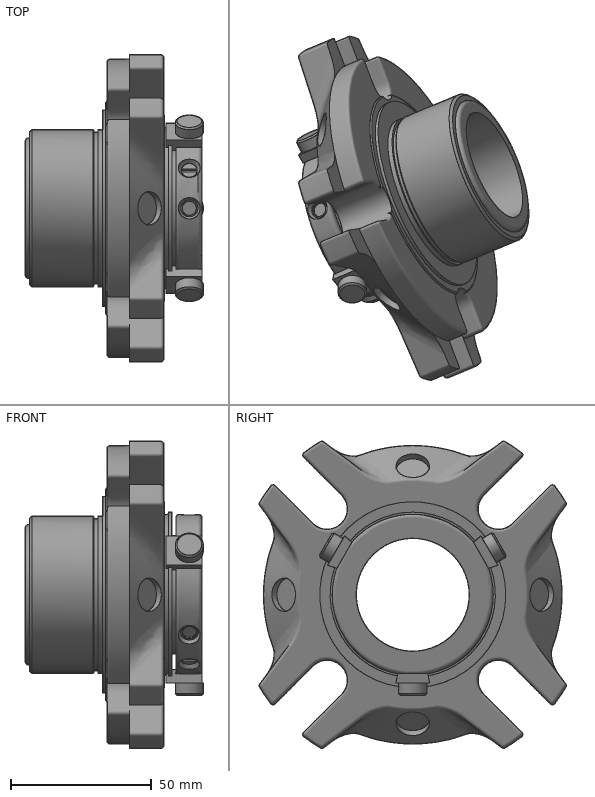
import cadquery as cq
import math

BARREL_START = 1.5
GROOVE_START = 24.5
GROOVE_END = 25.8
PILOT_FACE = 27.5
STEP_FACE = 28.6
FLANGE_FACE = 29.1
LUG_FACE = 37.0
REAR_FACE = 49.3
BOSS_END = 49.5
RING_START = 50.9
RING_END = 52.15
COLLAR_START = 53.5
COLLAR_END = 62.84

BORE_DIAMETER = 40.01
NOSE_DIAMETER = 50.04
BARREL_DIAMETER = 55.88
GROOVE_DIAMETER = 54.03
PILOT_DIAMETER = 69.85
STEP_DIAMETER = 76.0
FLANGE_DIAMETER = 106.0
BOSS_DIAMETER = 66.0
GLAND_DIAMETER = 57.17
RING_DIAMETER = 58.65
SLEEVE_DIAMETER = 41.99
COLLAR_DIAMETER = 57.17

NOSE_FILLET = 1.4
BARREL_FRONT_CHAMFER = 0.9
BARREL_REAR_CHAMFER = 0.4
STEP_CHAMFER = 0.45
FLANGE_FILLET = 1.0
RIM_CORNER_FILLET = 1.1
COLLAR_FILLET = 1.4

SLOT_COUNT = 4
FIRST_SLOT_ANGLE = 45
SLOT_WIDTH = 14.29
SLOT_CENTRE_RADIUS = 43.0
LUG_TIP_RADIUS = 63.5
LUG_TIP_HALF_WIDTH = 15.92
LUG_FLANK_ANGLE = 8.0
LUG_CORNER_FILLET = 1.0
LUG_ROOT_FILLET = 6.8
LUG_REAR_FILLET = 1.2
LUG_ROOT_RADIUS = 32.0
LUG_CORNER_MIN_RADIUS = LUG_TIP_RADIUS - LUG_CORNER_FILLET

RIM_CORNER_MIN_RADIUS = FLANGE_DIAMETER / 2 - RIM_CORNER_FILLET

PORT_DIAMETER = 11.81
PORT_DEPTH = 2.5
PORT_CENTRE_X = 44.2
PORT_COUNT = 4

CLIP_ANGLES = (30, 150, 270)
CLIP_WIDTH = 12.0
CLIP_START = 50.0
CLIP_TOP_RADIUS = 31.4
CLIP_BASE_RADIUS = 28.0
CLIP_FOOT_RADIUS = 26.5
HEAD_DIAMETER = 10.0
HEAD_CENTRE_X = 58.31
HEAD_TOP_RADIUS = 35.7
HEAD_CHAMFER = 0.6

SOCKET_SCREW_ANGLES = (90, 210, 330)
SLOTTED_SCREW_ANGLES = (60, 240)
SCREW_CENTRE_X = HEAD_CENTRE_X
SCREW_MOUTH_DIAMETER = 7.8
SOCKET_SCREW_DIAMETER = 6.0
SLOTTED_SCREW_DIAMETER = 5.6
SCREW_FLOOR_RADIUS = 26.9
SOCKET_DIAMETER = 5.0
SOCKET_FLOOR_RADIUS = 25.9
DRIVER_SLOT_WIDTH = 1.2
DRIVER_SLOT_FLOOR_RADIUS = 25.9

THROUGH = 200.0


def disc(diameter, start, end):
    """Solid cylinder on the X axis between two stations."""
    return cq.Workplane("YZ", origin=(start, 0, 0)).circle(diameter / 2).extrude(end - start)


def turned(solid, angle):
    """Turn a solid about the X axis."""
    return solid.rotate((0, 0, 0), (1, 0, 0), angle)


def axis_distance(edge):
    """Distance of an edge's middle from the X axis."""
    return math.hypot(edge.Center().y, edge.Center().z)


def slot_angles():
    """Angles of the evenly spaced slots, measured from +Y toward +Z."""
    return [FIRST_SLOT_ANGLE + i * 360 / SLOT_COUNT for i in range(SLOT_COUNT)]


def slot_cutter(start, end):
    """Open-ended radial slots with a full-round bottom."""
    cutter = cq.Workplane("YZ")
    for angle in slot_angles():
        slot = (
            cq.Workplane("YZ", origin=(start, 0, 0))
            .moveTo(SLOT_CENTRE_RADIUS, -SLOT_WIDTH / 2)
            .lineTo(THROUGH, -SLOT_WIDTH / 2)
            .lineTo(THROUGH, SLOT_WIDTH / 2)
            .lineTo(SLOT_CENTRE_RADIUS, SLOT_WIDTH / 2)
            .threePointArc(
                (SLOT_CENTRE_RADIUS - SLOT_WIDTH / 2, 0),
                (SLOT_CENTRE_RADIUS, -SLOT_WIDTH / 2),
            )
            .close()
            .extrude(end - start)
        )
        cutter = cutter.add(turned(slot, angle))
    return cutter.combine()


def lug_blank():
    """Tapered arm that becomes a pair of lugs once its slot is cut."""
    tip = math.sqrt(LUG_TIP_RADIUS**2 - LUG_TIP_HALF_WIDTH**2)
    spread = math.tan(math.radians(LUG_FLANK_ANGLE))
    root_half_width = LUG_TIP_HALF_WIDTH + (tip - LUG_ROOT_RADIUS) * spread
    return (
        cq.Workplane("YZ", origin=(LUG_FACE, 0, 0))
        .moveTo(LUG_ROOT_RADIUS, -root_half_width)
        .lineTo(tip, -LUG_TIP_HALF_WIDTH)
        .threePointArc((LUG_TIP_RADIUS, 0), (tip, LUG_TIP_HALF_WIDTH))
        .lineTo(LUG_ROOT_RADIUS, root_half_width)
        .close()
        .extrude(REAR_FACE - LUG_FACE)
    )


def lug_ring():
    """45 degree cone carrying the slotted lugs, blended at the lug roots."""
    base = FLANGE_DIAMETER / 2
    depth = REAR_FACE - LUG_FACE
    body = (
        cq.Workplane("XY")
        .polyline([
            (LUG_FACE, 0),
            (LUG_FACE, base),
            (REAR_FACE, base - depth),
            (REAR_FACE, 0),
        ])
        .close()
        .revolve(360, (0, 0, 0), (1, 0, 0))
    )
    for angle in slot_angles():
        body = body.union(turned(lug_blank(), angle))
    body = body.edges("%HYPERBOLA").fillet(LUG_ROOT_FILLET)
    body = body.cut(slot_cutter(LUG_FACE, REAR_FACE))
    corners = [e for e in body.edges("|X").vals() if axis_distance(e) > LUG_CORNER_MIN_RADIUS]
    body = body.newObject(corners).fillet(LUG_CORNER_FILLET)
    return body.faces(">X").edges().fillet(LUG_REAR_FILLET)


def front_half():
    """Stepped nose, pilot steps and flange disc ahead of the lugs."""
    nose = disc(NOSE_DIAMETER, 0, BARREL_START).faces("<X").edges().fillet(NOSE_FILLET)
    barrel = disc(BARREL_DIAMETER, BARREL_START, GROOVE_START)
    barrel = barrel.faces("<X").edges().chamfer(BARREL_FRONT_CHAMFER)
    barrel = barrel.faces(">X").edges().chamfer(BARREL_REAR_CHAMFER)
    groove = disc(GROOVE_DIAMETER, GROOVE_START, GROOVE_END)
    neck = disc(BARREL_DIAMETER, GROOVE_END, PILOT_FACE)
    pilot = disc(PILOT_DIAMETER, PILOT_FACE, STEP_FACE)
    step = disc(STEP_DIAMETER, STEP_FACE, LUG_FACE)
    step = step.faces("<X").edges().chamfer(STEP_CHAMFER)
    flange = disc(FLANGE_DIAMETER, FLANGE_FACE, LUG_FACE)
    flange = flange.cut(slot_cutter(FLANGE_FACE, LUG_FACE))
    rim_corners = [e for e in flange.edges("|X").vals() if axis_distance(e) > RIM_CORNER_MIN_RADIUS]
    flange = flange.newObject(rim_corners).fillet(RIM_CORNER_FILLET)
    flange = flange.faces("<X").edges().fillet(FLANGE_FILLET)
    step = step.cut(slot_cutter(STEP_FACE, LUG_FACE))
    body = nose
    for section in (barrel, groove, neck, pilot, step, flange):
        body = body.union(section)
    return body


def rear_half():
    """Gland nose, snap ring, sleeve and drive collar behind the lugs."""
    boss = disc(BOSS_DIAMETER, REAR_FACE, BOSS_END)
    gland = disc(GLAND_DIAMETER, BOSS_END, RING_START)
    ring = disc(RING_DIAMETER, RING_START, RING_END)
    sleeve = disc(SLEEVE_DIAMETER, RING_END, COLLAR_START)
    collar = disc(COLLAR_DIAMETER, COLLAR_START, COLLAR_END).edges().fillet(COLLAR_FILLET)
    return boss.union(gland).union(ring).union(sleeve).union(collar)


def radial_plane(x, radius):
    """Plane at a radius along +Y, facing outward, with its local x along X."""
    return cq.Plane(origin=(x, radius, 0), xDir=(1, 0, 0), normal=(0, 1, 0))


def port_cutter():
    """Flat-bottomed port drilled square to the cone surface."""
    surface_radius = FLANGE_DIAMETER / 2 - (PORT_CENTRE_X - LUG_FACE)
    plane = cq.Plane(origin=(PORT_CENTRE_X, surface_radius, 0), xDir=(0, 0, 1), normal=(1, 1, 0))
    return (
        cq.Workplane(plane)
        .workplane(offset=-PORT_DEPTH)
        .circle(PORT_DIAMETER / 2)
        .extrude(2 * PORT_DEPTH)
    )


def clip():
    """Setting clip with radial sides and a foot behind the snap ring, held by a cap screw."""
    plate = (
        cq.Workplane("XY", origin=(0, 0, -CLIP_WIDTH / 2))
        .polyline([
            (CLIP_START, CLIP_TOP_RADIUS),
            (CLIP_START, CLIP_BASE_RADIUS),
            (RING_END, CLIP_BASE_RADIUS),
            (RING_END, CLIP_FOOT_RADIUS),
            (COLLAR_START, CLIP_FOOT_RADIUS),
            (COLLAR_START, CLIP_BASE_RADIUS),
            (COLLAR_END, CLIP_BASE_RADIUS),
            (COLLAR_END, CLIP_TOP_RADIUS),
        ])
        .close()
        .extrude(CLIP_WIDTH)
    )
    half_width = THROUGH * CLIP_WIDTH / 2 / CLIP_TOP_RADIUS
    sector = (
        cq.Workplane("YZ")
        .polyline([(0, 0), (THROUGH, -half_width), (THROUGH, half_width)])
        .close()
        .extrude(THROUGH)
    )
    plate = plate.intersect(sector)
    head = (
        cq.Workplane(radial_plane(HEAD_CENTRE_X, CLIP_TOP_RADIUS))
        .circle(HEAD_DIAMETER / 2)
        .extrude(HEAD_TOP_RADIUS - CLIP_TOP_RADIUS)
        .faces(">Y")
        .chamfer(HEAD_CHAMFER)
    )
    return plate.union(head)


def screw_mouth(floor_diameter):
    """Countersunk hole down to the face of a set screw."""
    collar_radius = COLLAR_DIAMETER / 2
    depth = collar_radius - SCREW_FLOOR_RADIUS
    floor_edge = SCREW_CENTRE_X + floor_diameter / 2
    mouth_edge = SCREW_CENTRE_X + SCREW_MOUTH_DIAMETER / 2
    return (
        cq.Workplane("XY")
        .polyline([
            (SCREW_CENTRE_X, SCREW_FLOOR_RADIUS),
            (floor_edge, SCREW_FLOOR_RADIUS),
            (mouth_edge, collar_radius),
            (mouth_edge, collar_radius + depth),
            (SCREW_CENTRE_X, collar_radius + depth),
        ])
        .close()
        .revolve(360, (SCREW_CENTRE_X, 0, 0), (SCREW_CENTRE_X, 1, 0))
    )


def socket_screw_cutter():
    """Mouth and round socket of a flat-ended set screw."""
    socket = (
        cq.Workplane(radial_plane(SCREW_CENTRE_X, SOCKET_FLOOR_RADIUS))
        .circle(SOCKET_DIAMETER / 2)
        .extrude(SCREW_FLOOR_RADIUS - SOCKET_FLOOR_RADIUS)
    )
    return screw_mouth(SOCKET_SCREW_DIAMETER).union(socket)


def slotted_screw_cutter():
    """Mouth and driver slot of a slotted set screw."""
    driver_slot = (
        cq.Workplane(radial_plane(SCREW_CENTRE_X, DRIVER_SLOT_FLOOR_RADIUS))
        .rect(SLOTTED_SCREW_DIAMETER, DRIVER_SLOT_WIDTH)
        .extrude(SCREW_FLOOR_RADIUS - DRIVER_SLOT_FLOOR_RADIUS)
    )
    return screw_mouth(SLOTTED_SCREW_DIAMETER).union(driver_slot)


result = front_half().union(lug_ring()).union(rear_half())
for angle in CLIP_ANGLES:
    result = result.union(turned(clip(), angle))
for i in range(PORT_COUNT):
    result = result.cut(turned(port_cutter(), i * 360 / PORT_COUNT))
for angle in SOCKET_SCREW_ANGLES:
    result = result.cut(turned(socket_screw_cutter(), angle))
for angle in SLOTTED_SCREW_ANGLES:
    result = result.cut(turned(slotted_screw_cutter(), angle))
result = result.cut(disc(BORE_DIAMETER, 0, COLLAR_END))